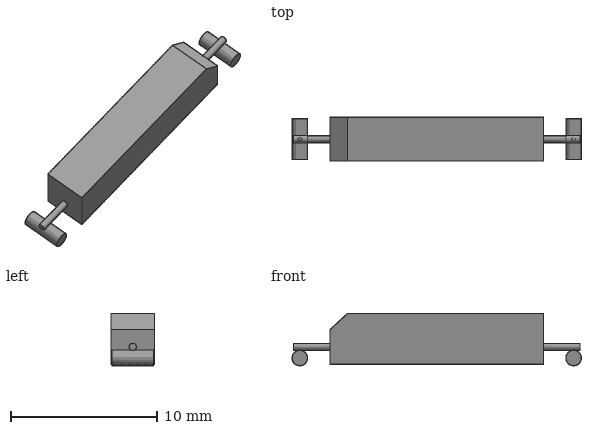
import cadquery as cq

overall_length = 19.77
overall_height = 3.58

body_length = 14.61
body_width = 3.0
body_bottom = 0.1
slope_length = 1.2
slope_height = 1.1

wire_diameter = 0.5
wire_length = 19.6

roller_diameter = 1.07
roller_length = 2.8
roller_offset = (overall_length - roller_diameter) / 2

joint_overlap = 0.02
wire_height = roller_diameter + wire_diameter / 2 - joint_overlap


def make_body():
    half_length = body_length / 2
    return (
        cq.Workplane("XZ", origin=(0, body_width / 2, 0))
        .moveTo(-half_length, body_bottom)
        .lineTo(half_length, body_bottom)
        .lineTo(half_length, overall_height)
        .lineTo(-half_length + slope_length, overall_height)
        .lineTo(-half_length, overall_height - slope_height)
        .close()
        .extrude(body_width)
    )


def make_wire():
    return (
        cq.Workplane("YZ", origin=(-wire_length / 2, 0, wire_height))
        .circle(wire_diameter / 2)
        .extrude(wire_length)
    )


def make_roller(x):
    return (
        cq.Workplane("XZ", origin=(x, roller_length / 2, roller_diameter / 2))
        .circle(roller_diameter / 2)
        .extrude(roller_length)
    )


result = make_body().union(make_wire())
for side in (-1, 1):
    result = result.union(make_roller(side * roller_offset))